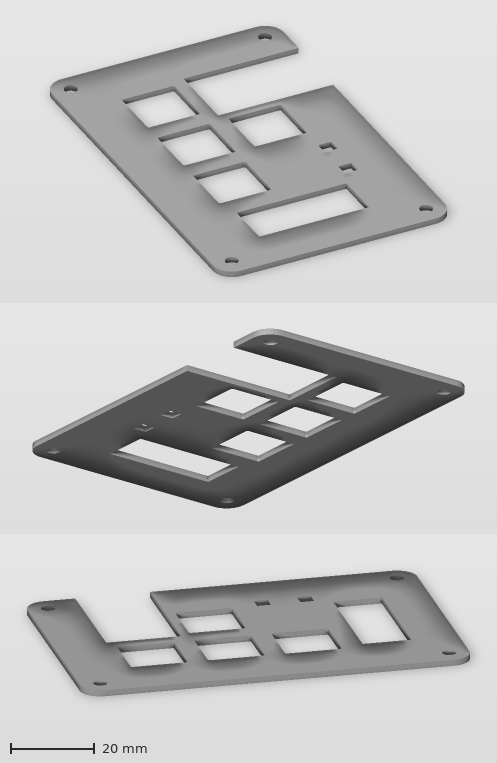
import cadquery as cq

length = 96.1
width = 62.1
thickness = 1.5
corner_radius = 5.0

hole_diameter = 3.4
hole_spacing_x = length - 2 * corner_radius
hole_spacing_y = width - 2 * corner_radius

notch_left = -35.1
notch_width = 18.5
notch_depth = 30.9

key_size = 14.0
key_corner_radius = 0.5
key_pitch = 19.0
middle_key_x = -7.2
key_row_y = -10.3
key_centers = [(middle_key_x + step * key_pitch, key_row_y) for step in (-1, 0, 1)]
key_centers.append((middle_key_x, key_row_y + key_pitch))

window_size = 3.5
window_spacing = 10.7
window_pair_x = 13.1
window_y = 17.4
window_centers = [(window_pair_x + side * window_spacing / 2, window_y) for side in (-1, 1)]

opening_width = 12.0
opening_height = 29.4
opening_center = (30.4, -0.7)


def rectangular_cutters(centers, size_x, size_y):
    """Blocks through the plate thickness, one at each center."""
    return cq.Workplane("XY").pushPoints(centers).rect(size_x, size_y).extrude(thickness)


plate = cq.Workplane("XY").rect(length, width).extrude(thickness)
plate = plate.edges("|Z").fillet(corner_radius)

mounting_holes = (
    cq.Workplane("XY")
    .rect(hole_spacing_x, hole_spacing_y, forConstruction=True)
    .vertices()
    .circle(hole_diameter / 2)
    .extrude(thickness)
)

notch_center = (notch_left + notch_width / 2, width / 2 - notch_depth / 2)
notch = rectangular_cutters([notch_center], notch_width, notch_depth)

keys = rectangular_cutters(key_centers, key_size, key_size)
keys = keys.edges("|Z").fillet(key_corner_radius)

windows = rectangular_cutters(window_centers, window_size, window_size)
opening = rectangular_cutters([opening_center], opening_width, opening_height)

result = plate
for cutter in (mounting_holes, notch, keys, windows, opening):
    result = result.cut(cutter)